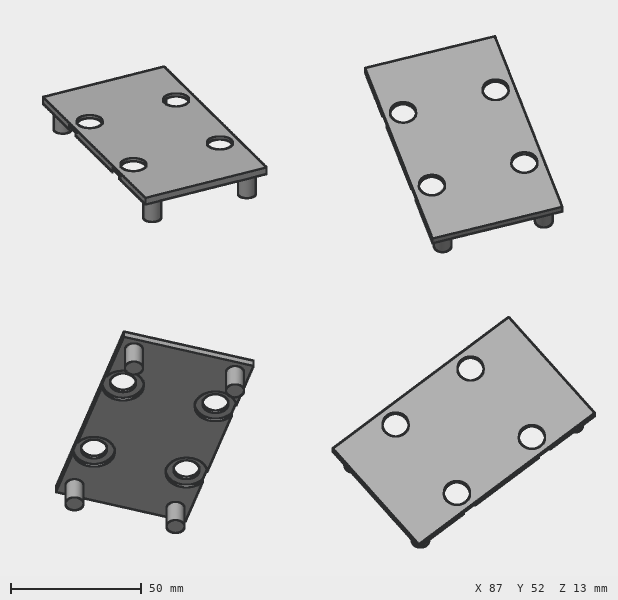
import cadquery as cq

plate_length = 87.0
plate_width = 52.0
plate_thickness = 3.0

leg_diameter = 7.0
leg_height = 10.0
leg_spacing_x = 76.0
leg_spacing_y = 40.5

hole_spacing = 37.1
hole_diameter = 10.0
recess_diameter = 15.9
recess_depth = 1.5


def make_plate():
    return cq.Workplane("XY").box(
        plate_length, plate_width, plate_thickness, centered=(True, True, False)
    )


def cylinders(spacing_x, spacing_y, diameter, height):
    """Four upright cylinders on a rectangle of centres, starting at Z = 0."""
    return (
        cq.Workplane("XY")
        .rect(spacing_x, spacing_y, forConstruction=True)
        .vertices()
        .circle(diameter / 2)
        .extrude(height)
    )


legs = cylinders(leg_spacing_x, leg_spacing_y, leg_diameter, -leg_height)
holes = cylinders(hole_spacing, hole_spacing, hole_diameter, plate_thickness)

recesses = cylinders(hole_spacing, hole_spacing, recess_diameter, recess_depth)

result = make_plate().cut(holes).cut(recesses).union(legs)